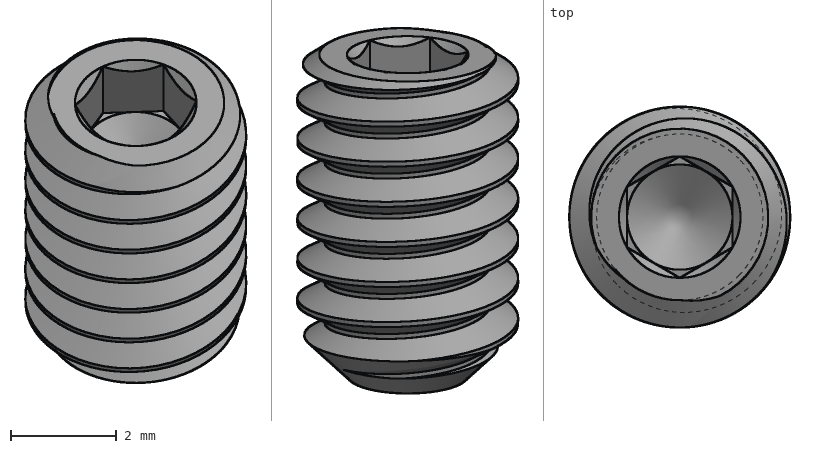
import cadquery as cq
import math

length = 6.35
major_diameter = 4.17
root_diameter = 3.14
pitch = length / 8
crest_width = pitch / 8
flank_angle = 30.0
crest_height_at_x = 5.405
turns_below = 8
turns_above = 2

tip_diameter = 2.28
rim_diameter = 3.34
rim_chamfer_angle = 35.0

hex_across_flats = 1.99
hex_depth = 1.245
hex_across_corners = hex_across_flats / math.cos(math.radians(30))
lead_in_angle = 45.0
drill_point_angle = 120.0

major_radius = major_diameter / 2
root_radius = root_diameter / 2
crest_clearance = 0.065
root_overlap = 0.025


def make_thread():
    """Core and helical ridge, both running past the two ends of the screw."""
    slope = math.tan(math.radians(flank_angle))
    half_crest = crest_width / 2
    inner_radius = root_radius - root_overlap
    half_base = half_crest + (major_radius - inner_radius) * slope
    start = crest_height_at_x - turns_below * pitch
    turns = turns_below + turns_above
    path = cq.Workplane(cq.Wire.makeHelix(pitch, turns * pitch, root_radius))
    ridge = (
        cq.Workplane("XZ")
        .polyline([
            (inner_radius, -half_base),
            (major_radius, -half_crest),
            (major_radius, half_crest),
            (inner_radius, half_base),
        ])
        .close()
        .sweep(path, isFrenet=True)
        .translate((0, 0, start))
    )
    core = cq.Workplane("XY").workplane(offset=start).circle(root_radius).extrude(turns * pitch)
    return core.union(ridge)


def make_envelope():
    """Turned blank: flat ends, conical tip and chamfered top rim."""
    outer_radius = major_radius + crest_clearance
    tip_radius = tip_diameter / 2
    rim_radius = rim_diameter / 2
    rim_drop = (outer_radius - rim_radius) * math.tan(math.radians(rim_chamfer_angle))
    return (
        cq.Workplane("XZ")
        .polyline([
            (0, 0),
            (tip_radius, 0),
            (outer_radius, outer_radius - tip_radius),
            (outer_radius, length - rim_drop),
            (rim_radius, length),
            (0, length),
        ])
        .close()
        .revolve(360, (0, 0), (0, 1))
    )


def make_cone(radius, base_height, slope_angle):
    """Cone pointing down from its base, its side sloping from the plane across the axis."""
    depth = radius * math.tan(math.radians(slope_angle))
    return (
        cq.Workplane("XZ")
        .polyline([(0, base_height), (radius, base_height), (0, base_height - depth)])
        .close()
        .revolve(360, (0, 0), (0, 1))
    )


def make_socket():
    """Hexagon with corners on +Y and -Y, a drill point below and a lead-in above."""
    floor = length - hex_depth
    hexagon = (
        cq.Workplane("XY")
        .workplane(offset=floor)
        .transformed(rotate=(0, 0, 90))
        .polygon(6, hex_across_corners)
        .extrude(hex_depth)
    )
    drill_point = make_cone(hex_across_flats / 2, floor, 90 - drill_point_angle / 2)
    lead_in = make_cone(hex_across_corners / 2, length, lead_in_angle)
    return hexagon.union(drill_point).union(lead_in)


result = make_thread().intersect(make_envelope()).cut(make_socket())